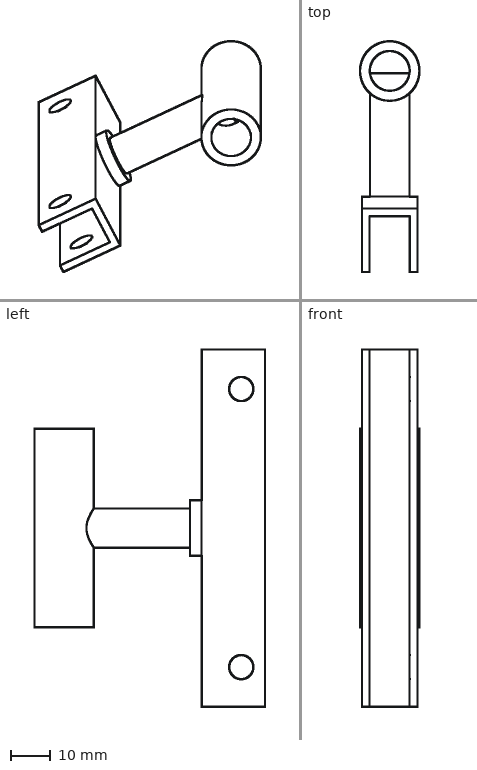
import cadquery as cq

channel_height = 90.0
channel_width = 14.0
channel_depth = 16.0
wall = 2.0
pin_hole_diameter = 6.0
pin_hole_edge_distance = 6.0
pin_hole_end_distance = 10.0

tube_outer_diameter = 15.0
tube_bore_diameter = 10.0
tube_height = 50.0

stem_diameter = 10.0
stem_end_offset = 0.5
collar_diameter = channel_width
collar_thickness = 3.0

overall_depth = 58.1
open_edge_y = tube_outer_diameter / 2 - overall_depth
channel_back_y = open_edge_y + channel_depth


def rod_along_y(diameter, start_y, end_y):
    """Solid cylinder on the Y axis between two Y positions."""
    return (
        cq.Workplane("XZ", origin=(0, start_y, 0))
        .circle(diameter / 2)
        .extrude(start_y - end_y)
    )


def make_channel():
    center_y = open_edge_y + channel_depth / 2
    body = cq.Workplane("XY").box(channel_width, channel_depth, channel_height)
    slot = (
        cq.Workplane("XY")
        .box(channel_width - 2 * wall, channel_depth, channel_height)
        .translate((0, -wall, 0))
    )
    channel = body.cut(slot).translate((0, center_y, 0))
    hole_y = open_edge_y + pin_hole_edge_distance
    hole_z = channel_height / 2 - pin_hole_end_distance
    holes = (
        cq.Workplane("YZ")
        .pushPoints([(hole_y, -hole_z), (hole_y, hole_z)])
        .circle(pin_hole_diameter / 2)
        .extrude(channel_width, both=True)
    )
    return channel.cut(holes)


def make_tube():
    return (
        cq.Workplane("XY", origin=(0, 0, -tube_height / 2))
        .circle(tube_outer_diameter / 2)
        .circle(tube_bore_diameter / 2)
        .extrude(tube_height)
    )


collar = rod_along_y(collar_diameter, channel_back_y, channel_back_y + collar_thickness)
stem = rod_along_y(stem_diameter, channel_back_y, -stem_end_offset)

result = make_channel().union(collar).union(stem).union(make_tube())